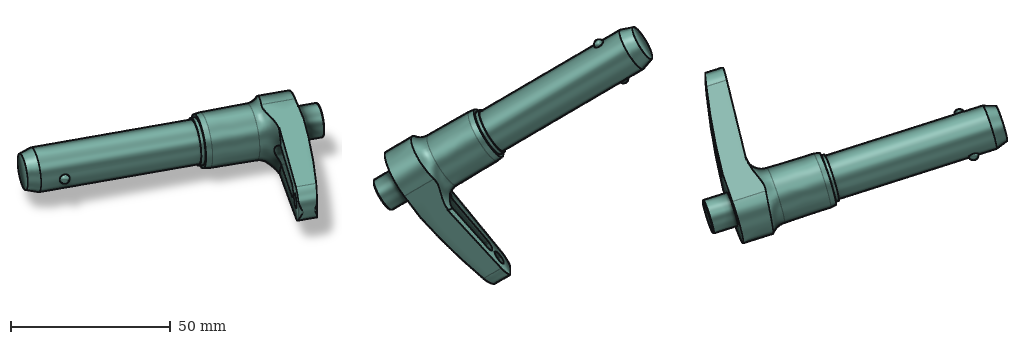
import cadquery as cq
import math


shank_radius = 7.2
tip_radius = 5.8
tip_length = 4.0

ball_radius = 1.6
ball_reach = 8.6
ball_height = 11.6

lip_bottom = 56.0
lip_radius = 7.6
collar_bottom = 57.3
collar_bottom_radius = 8.6
collar_bevel_top = 59.2
collar_bevel_radius = 8.9
collar_top = 74.5
collar_top_radius = 9.1
flare_radius = 5.5

total_length = 96.8
button_radius = 5.5
button_chamfer = 0.3

overall_width = 55.6
head_radius = 10.2
head_center_x = -1.11
arm_end_radius = 6.2
arm_end_x = head_center_x - head_radius + overall_width
arm_end_center_x = arm_end_x - arm_end_radius

handle_top = 88.7
top_curve_start_x = 9.2
top_curve_middle_x = 27.1
top_curve_middle_drop = 2.1
top_curve_end_drop = 5.6
underside_start_y = 82.35
profile_margin = 1.0
underside_end_y = 77.2
arm_tip_fillet = 1.2

slot_inner_radius = 3.3
slot_inner_x = 14.3
slot_outer_radius = 2.5
slot_outer_x = 31.9
hole_radius = 2.3
hole_x = 37.9


def tapered_slot(x_1, radius_1, x_2, radius_2, y_from, y_to):
    """Prism along Y whose outline is two rounds joined by their tangent lines."""
    lean = math.asin((radius_1 - radius_2) / (x_2 - x_1))

    def tangent_point(x, radius, side):
        return (x + radius * math.sin(lean), side * radius * math.cos(lean))

    return (
        cq.Workplane("XZ", origin=(0, y_from, 0))
        .moveTo(*tangent_point(x_1, radius_1, 1))
        .lineTo(*tangent_point(x_2, radius_2, 1))
        .threePointArc((x_2 + radius_2, 0), tangent_point(x_2, radius_2, -1))
        .lineTo(*tangent_point(x_1, radius_1, -1))
        .threePointArc((x_1 - radius_1, 0), tangent_point(x_1, radius_1, 1))
        .close()
        .extrude(y_from - y_to)
    )


def revolve_about_pin(profile):
    return profile.close().revolve(360, (0, 0, 0), (0, 1, 0))


def make_handle():
    outline = tapered_slot(
        head_center_x, head_radius, arm_end_center_x, arm_end_radius, collar_top, handle_top
    )
    head_end_x = head_center_x - head_radius
    side_profile = (
        cq.Workplane("XY")
        .moveTo(head_end_x, underside_start_y)
        .lineTo(head_end_x, handle_top)
        .lineTo(top_curve_start_x, handle_top)
        .threePointArc(
            (top_curve_middle_x, handle_top - top_curve_middle_drop),
            (arm_end_x, handle_top - top_curve_end_drop),
        )
        .lineTo(arm_end_x, underside_end_y)
        .close()
        .extrude(head_radius + profile_margin, both=True)
        .edges("|Z and >X")
        .fillet(arm_tip_fillet)
    )
    flare_end_radius = collar_top_radius + flare_radius
    bend = flare_radius * math.sqrt(0.5)
    flare_top = underside_start_y + profile_margin
    flare = revolve_about_pin(
        cq.Workplane("XY")
        .moveTo(0, collar_top)
        .lineTo(collar_top_radius, collar_top)
        .threePointArc(
            (flare_end_radius - bend, collar_top + bend),
            (flare_end_radius, collar_top + flare_radius),
        )
        .lineTo(flare_end_radius, flare_top)
        .lineTo(0, flare_top)
    )
    handle = side_profile.intersect(outline).union(flare.intersect(outline))
    slot = tapered_slot(
        slot_inner_x, slot_inner_radius, slot_outer_x, slot_outer_radius, collar_top, handle_top
    )
    hole = (
        cq.Workplane("XZ", origin=(hole_x, collar_top, 0))
        .circle(hole_radius)
        .extrude(collar_top - handle_top)
    )
    return handle.cut(slot).cut(hole)


def make_pin_and_collar():
    profile = (
        cq.Workplane("ZY")
        .lineTo(tip_radius, 0)
        .lineTo(shank_radius, tip_length)
        .lineTo(shank_radius, lip_bottom)
        .lineTo(lip_radius, lip_bottom)
        .lineTo(lip_radius, collar_bottom)
        .lineTo(collar_bottom_radius, collar_bottom)
        .lineTo(collar_bevel_radius, collar_bevel_top)
        .lineTo(collar_top_radius, collar_top)
        .lineTo(0, collar_top)
    )
    return revolve_about_pin(profile)


def make_button():
    return (
        cq.Workplane("XZ", origin=(0, handle_top, 0))
        .circle(button_radius)
        .extrude(handle_top - total_length)
        .faces(">Y")
        .chamfer(button_chamfer)
    )


result = make_handle().union(make_pin_and_collar()).union(make_button())
for side in (-1, 1):
    ball_center = (side * (ball_reach - ball_radius), ball_height, 0)
    result = result.union(cq.Workplane("YZ", origin=ball_center).sphere(ball_radius))